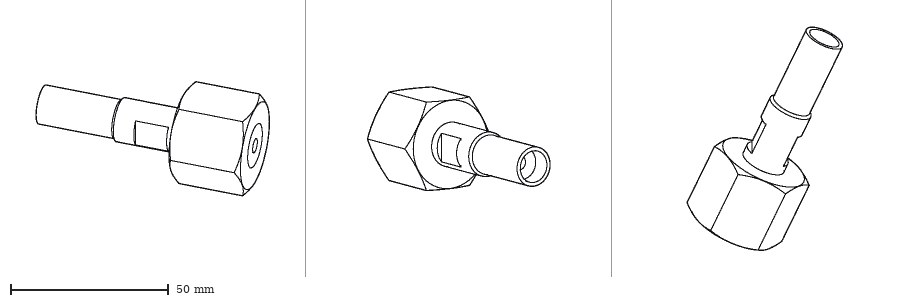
import cadquery as cq
import math

overall_length = 71.29

tube_diameter = 12.7
tube_length = 25.4
shank_diameter = 14.35
shoulder_chamfer = (shank_diameter - tube_diameter) / 2
flat_start = 33.1
flat_length = 11.0
width_across_flats = 11.0
through_bore_diameter = 4.6
counterbore_diameter = 10.2
counterbore_depth = 6.35
drill_point_angle = 118.0

nut_length = 24.0
nut_start = overall_length - nut_length
hex_across_flats = 28.575
hex_across_corners = hex_across_flats / math.cos(math.radians(30))
nut_face_diameter = 28.4
nut_chamfer_angle = 30.0


def revolve_about_x(profile):
    """Revolve an XY profile (x along the axis, y as radius) around the X axis."""
    return profile.close().revolve(360, (0, 0, 0), (1, 0, 0))


def make_stem():
    tube_radius = tube_diameter / 2
    shank_radius = shank_diameter / 2
    through_radius = through_bore_diameter / 2
    counterbore_radius = counterbore_diameter / 2
    cone_length = (counterbore_radius - through_radius) / math.tan(math.radians(drill_point_angle / 2))

    turned = revolve_about_x(
        cq.Workplane("XY")
        .moveTo(0, counterbore_radius)
        .lineTo(0, tube_radius)
        .lineTo(tube_length, tube_radius)
        .lineTo(tube_length + shoulder_chamfer, shank_radius)
        .lineTo(overall_length, shank_radius)
        .lineTo(overall_length, through_radius)
        .lineTo(counterbore_depth + cone_length, through_radius)
        .lineTo(counterbore_depth, counterbore_radius)
    )

    flat_center_x = flat_start + flat_length / 2
    for side in (-1, 1):
        cutter = cq.Workplane("XY").box(flat_length, shank_diameter, shank_diameter)
        cutter_y = side * (width_across_flats + shank_diameter) / 2
        turned = turned.cut(cutter.translate((flat_center_x, cutter_y, 0)))
    return turned


def make_nut():
    hexagon = (
        cq.Workplane("YZ", origin=(nut_start, 0, 0))
        .polygon(6, hex_across_corners)
        .circle(shank_diameter / 2)
        .extrude(nut_length)
    )

    face_radius = nut_face_diameter / 2
    corner_radius = hex_across_corners / 2
    chamfer_length = (corner_radius - face_radius) * math.tan(math.radians(nut_chamfer_angle))
    envelope = revolve_about_x(
        cq.Workplane("XY")
        .moveTo(nut_start, 0)
        .lineTo(nut_start, face_radius)
        .lineTo(nut_start + chamfer_length, corner_radius)
        .lineTo(overall_length - chamfer_length, corner_radius)
        .lineTo(overall_length, face_radius)
        .lineTo(overall_length, 0)
    )
    return hexagon.intersect(envelope)


stem = make_stem()
nut = make_nut()

result = cq.Compound.makeCompound([stem.val(), nut.val()])